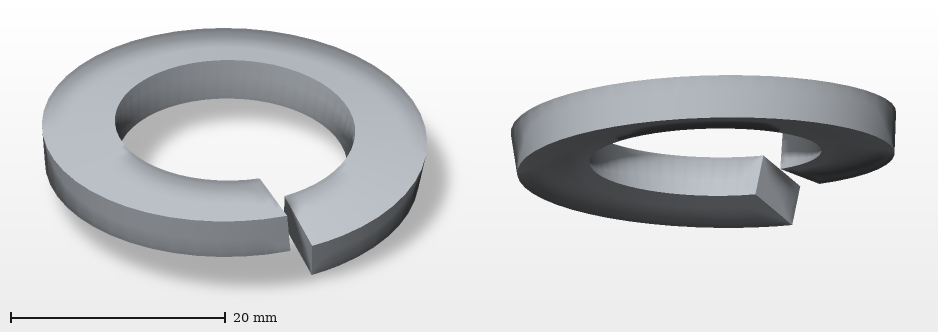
import cadquery as cq
import math

outer_radius = 17.95
bar_width = 6.8
bar_height = 4.0
pitch = 4.0
overall_height = 7.8

slot_width = 2.15
slot_lean = 4.6
slot_y = -0.45

start_angle = -2.0
end_angle = -1.0
turn = 360.0 - (end_angle - start_angle)
drop = pitch * turn / 360.0
start_z = 3.95


def wound_bar():
    """Bar descending clockwise from the raised end, its outer top corner on the helix."""
    spine = cq.Wire.makeHelix(pitch, drop, outer_radius)
    lead_angle = math.atan2(pitch, 2 * math.pi * outer_radius)
    section_plane = cq.Plane(
        origin=(outer_radius, 0, 0),
        xDir=(-1, 0, 0),
        normal=(0, math.cos(lead_angle), math.sin(lead_angle)),
    )
    section = cq.Workplane(section_plane).rect(bar_width, bar_height, centered=False)
    rising_bar = section.sweep(cq.Workplane(spine), isFrenet=False)
    return (
        rising_bar
        .rotate((0, 0, 0), (1, 0, 0), 180)
        .rotate((0, 0, 0), (0, 0, 1), start_angle)
        .translate((0, 0, start_z))
    )


def parting_slot():
    """Leaning slab reaching from the centre past the outside of the ring."""
    return (
        cq.Workplane("XY")
        .box(2 * outer_radius, slot_width, 2 * overall_height, centered=(False, True, True))
        .rotate((0, 0, 0), (1, 0, 0), slot_lean)
        .translate((0, slot_y, 0))
    )


result = wound_bar().cut(parting_slot())